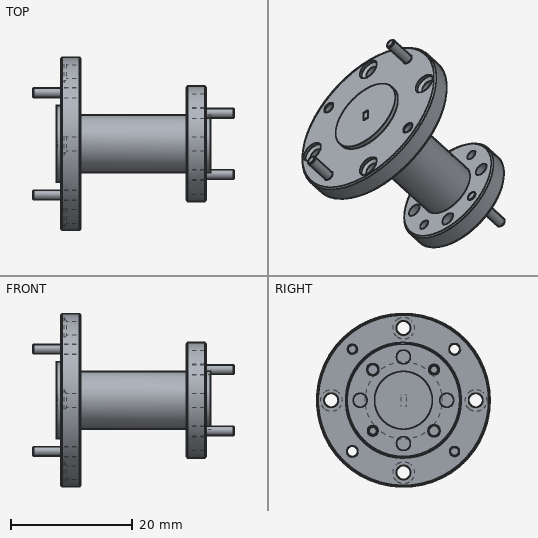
import cadquery as cq
import math

OVERALL_LENGTH = 33.15
PIN_PROTRUSION = 4.6
BOSS_HEIGHT = 0.73
FLANGE_THICKNESS = 3.28
FLANGE_CHAMFER = 0.25

LARGE_FLANGE_DIAMETER = 28.58
SMALL_FLANGE_DIAMETER = 19.05
LARGE_BOSS_DIAMETER = 12.7
BARREL_DIAMETER = 9.5

LARGE_CIRCLE_RADIUS = 11.9
SMALL_CIRCLE_RADIUS = 7.13
SCREW_HOLE_DIAMETER = 2.3
SCREW_ANGLES = (0, 90, 180, 270)

COUNTERSINK_DIAMETER = 3.58
COUNTERSINK_RIM_DEPTH = 0.45
COUNTERSINK_CONE_DEPTH = 0.43

PIN_DIAMETER = 1.6
PIN_TIP_CHAMFER = 0.15
PIN_BASE_CHAMFER = 0.1
PIN_HOLE_CHAMFER = 0.05
GUIDE_HOLE_DIAMETER = 1.72
GUIDE_HOLE_CHAMFER = 0.13

WINDOW_WIDTH = 0.93
WINDOW_HEIGHT = 1.75
WINDOW_DEPTH = 0.13

LARGE_OUTER_X = PIN_PROTRUSION - OVERALL_LENGTH / 2
LARGE_INNER_X = LARGE_OUTER_X + FLANGE_THICKNESS
SMALL_OUTER_X = OVERALL_LENGTH / 2 - PIN_PROTRUSION
SMALL_INNER_X = SMALL_OUTER_X - FLANGE_THICKNESS
LARGE_BOSS_X = LARGE_OUTER_X - BOSS_HEIGHT
SMALL_BOSS_X = SMALL_OUTER_X + BOSS_HEIGHT

LARGE_PIN_ANGLES = (135, 315)
LARGE_GUIDE_ANGLES = (45, 225)
SMALL_PIN_ANGLES = (45, 225)
SMALL_GUIDE_ANGLES = (135, 315)


def on_circle(radius, angle):
    """Y and Z of a point on a hole circle."""
    return (radius * math.cos(math.radians(angle)), radius * math.sin(math.radians(angle)))


def cylinder_along_x(x_start, x_end, diameter, center=(0, 0)):
    return (
        cq.Workplane("YZ", origin=(x_start, 0, 0))
        .center(*center)
        .circle(diameter / 2)
        .extrude(x_end - x_start)
    )


def cone_along_x(x_start, x_end, start_diameter, end_diameter, center):
    direction = cq.Vector(math.copysign(1, x_end - x_start), 0, 0)
    length = abs(x_end - x_start)
    base_center = cq.Vector(x_start, *center)
    cone = cq.Solid.makeCone(
        start_diameter / 2, end_diameter / 2, length, base_center, direction
    )
    return cq.Workplane(cone)


def make_turned_blank():
    large_flange = cylinder_along_x(LARGE_OUTER_X, LARGE_INNER_X, LARGE_FLANGE_DIAMETER)
    small_flange = cylinder_along_x(SMALL_INNER_X, SMALL_OUTER_X, SMALL_FLANGE_DIAMETER)
    large_boss = cylinder_along_x(LARGE_BOSS_X, LARGE_OUTER_X, LARGE_BOSS_DIAMETER)
    barrel = cylinder_along_x(LARGE_OUTER_X, SMALL_BOSS_X, BARREL_DIAMETER)
    return (
        large_flange.edges().chamfer(FLANGE_CHAMFER)
        .union(small_flange.edges().chamfer(FLANGE_CHAMFER))
        .union(large_boss)
        .union(barrel)
    )


def cut_large_screw_holes(body):
    cone_start = LARGE_OUTER_X + COUNTERSINK_RIM_DEPTH
    cone_end = cone_start + COUNTERSINK_CONE_DEPTH
    for angle in SCREW_ANGLES:
        center = on_circle(LARGE_CIRCLE_RADIUS, angle)
        body = body.cut(cylinder_along_x(LARGE_OUTER_X, LARGE_INNER_X, SCREW_HOLE_DIAMETER, center))
        body = body.cut(cylinder_along_x(LARGE_OUTER_X, cone_start, COUNTERSINK_DIAMETER, center))
        body = body.cut(
            cone_along_x(cone_start, cone_end, COUNTERSINK_DIAMETER, SCREW_HOLE_DIAMETER, center)
        )
    return body


def cut_small_screw_holes(body):
    for angle in SCREW_ANGLES:
        center = on_circle(SMALL_CIRCLE_RADIUS, angle)
        body = body.cut(cylinder_along_x(SMALL_INNER_X, SMALL_OUTER_X, SCREW_HOLE_DIAMETER, center))
    return body


def cut_chamfered_holes(body, inner_x, outer_x, circle_radius, angles, diameter, chamfer):
    """Through holes with a chamfered mouth on the outer flange face."""
    mouth_end = outer_x + math.copysign(chamfer, inner_x - outer_x)
    mouth_diameter = diameter + 2 * chamfer
    for angle in angles:
        center = on_circle(circle_radius, angle)
        body = body.cut(cylinder_along_x(inner_x, outer_x, diameter, center))
        body = body.cut(cone_along_x(outer_x, mouth_end, mouth_diameter, diameter, center))
    return body


def cut_dowel_pattern(body, inner_x, outer_x, circle_radius, guide_angles, pin_angles):
    """Guide holes and pin holes of one flange."""
    body = cut_chamfered_holes(
        body, inner_x, outer_x, circle_radius, guide_angles, GUIDE_HOLE_DIAMETER, GUIDE_HOLE_CHAMFER
    )
    return cut_chamfered_holes(
        body, inner_x, outer_x, circle_radius, pin_angles, PIN_DIAMETER, PIN_HOLE_CHAMFER
    )


def cut_window(body):
    window = (
        cq.Workplane("YZ", origin=(LARGE_BOSS_X, 0, 0))
        .rect(WINDOW_WIDTH, WINDOW_HEIGHT)
        .extrude(WINDOW_DEPTH)
    )
    return body.cut(window)


def make_housing():
    body = make_turned_blank()
    body = cut_large_screw_holes(body)
    body = cut_small_screw_holes(body)
    body = cut_dowel_pattern(
        body, LARGE_INNER_X, LARGE_OUTER_X, LARGE_CIRCLE_RADIUS, LARGE_GUIDE_ANGLES, LARGE_PIN_ANGLES
    )
    body = cut_dowel_pattern(
        body, SMALL_INNER_X, SMALL_OUTER_X, SMALL_CIRCLE_RADIUS, SMALL_GUIDE_ANGLES, SMALL_PIN_ANGLES
    )
    return cut_window(body)


def make_pin(inner_x, tip_x, circle_radius, angle):
    """A dowel pin chamfered at both ends, its inner end level with the inner flange face."""
    pin = cylinder_along_x(inner_x, tip_x, PIN_DIAMETER, on_circle(circle_radius, angle))
    tip_face, base_face = (">X", "<X") if tip_x > inner_x else ("<X", ">X")
    pin = pin.faces(tip_face).edges().chamfer(PIN_TIP_CHAMFER)
    return pin.faces(base_face).edges().chamfer(PIN_BASE_CHAMFER)


housing = make_housing()

pins = []
for pin_angle in LARGE_PIN_ANGLES:
    pins.append(make_pin(LARGE_INNER_X, -OVERALL_LENGTH / 2, LARGE_CIRCLE_RADIUS, pin_angle))
for pin_angle in SMALL_PIN_ANGLES:
    pins.append(make_pin(SMALL_INNER_X, OVERALL_LENGTH / 2, SMALL_CIRCLE_RADIUS, pin_angle))

result = cq.Compound.makeCompound([housing.val(), *[pin.val() for pin in pins]])